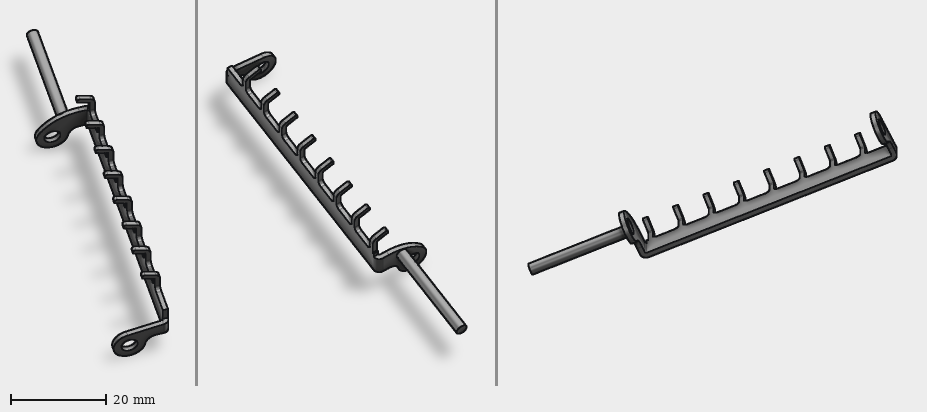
import cadquery as cq
import math


sheet = 1.15
bend_inner = 0.25
bend_outer = bend_inner + sheet

total_length = 82
left_ear_x = 23.05
plate_start = left_ear_x + bend_outer
plate_end = total_length - bend_outer
plate_height = 6.1

left_ear_height = 5.0
right_ear_height = 3.0
ear_flat_y = -2.95
eye_y = -8.85
eye_z = -1.5
eye_radius = 3.5
eye_hole_diameter = 3.5
eye = (eye_y, eye_z)
flat_run = ear_flat_y - eye_y

rod_diameter = 2.55
rod_y = -6.15
rod_z = 2.95

hook_count = 8
hook_pitch = 7.0
hook_width = 1.1
first_hook_x = left_ear_x + 2.3
hook_bend_z = 9.3
hook_arm_length = 2.95
hook_arm_angle = math.radians(20)
hook_root_radius = 1.0
hook_tip_radius = 0.4


def toward(start, target, distance):
    """Point at a given distance from start, in the direction of target."""
    span = math.dist(start, target)
    return tuple(a + (b - a) * distance / span for a, b in zip(start, target))


def arc_points(center, radius, end_angle):
    """Middle and end point of an arc about center that starts at angle zero."""
    angles = (end_angle / 2, end_angle)
    return [(center[0] + radius * math.cos(a), center[1] + radius * math.sin(a)) for a in angles]


def middle_of_arc(center, start, end):
    """Point halfway along the minor arc from start to end."""
    chord_middle = ((start[0] + end[0]) / 2, (start[1] + end[1]) / 2)
    return toward(center, chord_middle, math.dist(center, start))


def finish_ear(outline, ear_x):
    """Close an ear around its eye and along the lower edge, then pierce and thicken it."""
    neck_radius = (flat_run**2 + eye_z**2 - eye_radius**2) / (2 * (eye_radius - eye_z))
    neck_center = (ear_flat_y, -neck_radius)
    neck_start = toward(eye, neck_center, eye_radius)
    neck_end = (ear_flat_y, 0)
    eye_bottom = (eye_y, eye_z - eye_radius)
    ear = (
        outline.threePointArc(eye_bottom, neck_start)
        .threePointArc(middle_of_arc(neck_center, neck_start, neck_end), neck_end)
        .lineTo(-bend_outer, 0)
        .close()
        .extrude(sheet)
    )
    hole = cq.Workplane("YZ", origin=(ear_x, 0, 0)).center(*eye).circle(eye_hole_diameter / 2).extrude(sheet)
    return ear.cut(hole)


def left_ear():
    """Ear whose upper edge is flat, then a wide arc tangent to the eye."""
    rise = left_ear_height - eye_z
    crown_radius = (flat_run**2 + rise**2 - eye_radius**2) / (2 * (rise - eye_radius))
    crown_center = (ear_flat_y, left_ear_height - crown_radius)
    crown_start = (ear_flat_y, left_ear_height)
    crown_end = toward(crown_center, eye, crown_radius)
    outline = (
        cq.Workplane("YZ", origin=(left_ear_x, 0, 0))
        .moveTo(-bend_outer, left_ear_height)
        .lineTo(*crown_start)
        .threePointArc(middle_of_arc(crown_center, crown_start, crown_end), crown_end)
    )
    return finish_ear(outline, left_ear_x)


def right_ear():
    """Ear whose upper edge is one sloping line tangent to the eye."""
    ear_x = total_length - sheet
    corner = (-bend_outer, right_ear_height)
    to_corner = math.atan2(corner[1] - eye_z, corner[0] - eye_y)
    tangent_angle = to_corner + math.acos(eye_radius / math.dist(eye, corner))
    tangent_point = (
        eye_y + eye_radius * math.cos(tangent_angle),
        eye_z + eye_radius * math.sin(tangent_angle),
    )
    outline = cq.Workplane("YZ", origin=(ear_x, 0, 0)).moveTo(*corner).lineTo(*tangent_point)
    return finish_ear(outline, ear_x)


def corner_bend(center_x, side, height):
    """Quarter ring joining the strip to an ear; side is -1 on the left and +1 on the right."""
    ring = (
        cq.Workplane("XY", origin=(center_x, -bend_outer, 0))
        .circle(bend_outer)
        .circle(bend_inner)
        .extrude(height)
    )
    quarter = (
        cq.Workplane("XY", origin=(center_x, -bend_outer, 0))
        .rect(side * bend_outer, bend_outer, centered=False)
        .extrude(height)
    )
    return ring.intersect(quarter)


def plate():
    """Flat strip between the two corner bends."""
    return (
        cq.Workplane("XY", origin=(plate_start, -sheet, 0))
        .rect(plate_end - plate_start, sheet, centered=False)
        .extrude(plate_height)
    )


def hook(center_x):
    """Upright finger bent forward, its arm rising at the arm angle to a rounded tip."""
    center = (-bend_outer, hook_bend_z)
    turned = math.pi / 2 - hook_arm_angle
    arm = (-hook_arm_length * math.cos(hook_arm_angle), hook_arm_length * math.sin(hook_arm_angle))
    outer_middle, outer_end = arc_points(center, bend_outer, turned)
    inner_middle, inner_end = arc_points(center, bend_inner, turned)
    return (
        cq.Workplane("YZ", origin=(center_x - hook_width / 2, 0, 0))
        .moveTo(0, plate_height)
        .lineTo(0, hook_bend_z)
        .threePointArc(outer_middle, outer_end)
        .line(*arm)
        .lineTo(inner_end[0] + arm[0], inner_end[1] + arm[1])
        .lineTo(*inner_end)
        .threePointArc(inner_middle, (-sheet, hook_bend_z))
        .lineTo(-sheet, plate_height)
        .close()
        .extrude(hook_width)
        .edges("|X and (>Z or <Y)")
        .fillet(hook_tip_radius)
    )


def hook_root(center_x, side):
    """Concave fillet between a hook's flank and the top of the strip."""
    block = (
        cq.Workplane("XZ", origin=(center_x + side * hook_width / 2, 0, plate_height))
        .rect(side * hook_root_radius, hook_root_radius, centered=False)
        .extrude(sheet)
    )
    scoop_x = center_x + side * (hook_width / 2 + hook_root_radius)
    scoop = (
        cq.Workplane("XZ", origin=(scoop_x, 0, plate_height + hook_root_radius))
        .circle(hook_root_radius)
        .extrude(sheet)
    )
    return block.cut(scoop)


result = (
    plate()
    .union(corner_bend(plate_start, -1, left_ear_height))
    .union(corner_bend(plate_end, 1, right_ear_height))
    .union(left_ear())
    .union(right_ear())
)

rod = cq.Workplane("YZ").center(rod_y, rod_z).circle(rod_diameter / 2).extrude(left_ear_x)
result = result.union(rod)

for index in range(hook_count):
    hook_x = first_hook_x + index * hook_pitch
    result = result.union(hook(hook_x)).union(hook_root(hook_x, 1))
    if index > 0:
        result = result.union(hook_root(hook_x, -1))